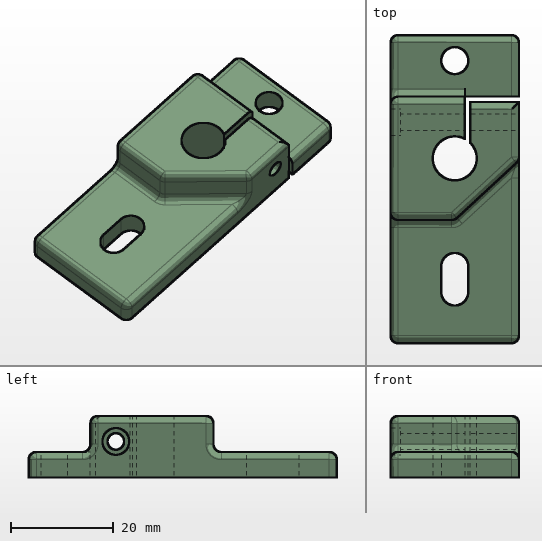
import cadquery as cq

WIDTH = 25.0
LENGTH = 60
BASE_HEIGHT = 5.0
RADIUS = 1.5

HEIGHT = 12
BLOCK_BACK = 18
BLOCK_FRONT = -6
DIAGONAL_START_X = 0
DIAGONAL_END_Y = 5.6

BORE_DIAMETER = 8.5
BORE_Y = 6
SLIT_WIDTH = 1.0
SLIT_LEFT = 2.0

SCREW_DIAMETER = 3.2
SCREW_HEAD_DIAMETER = 5.2
SCREW_HEAD_DEPTH = 2.0
SCREW_Y = 13.0
SCREW_Z = 7.0

MOUNT_DIAMETER = 5.2
MOUNT_HOLE_Y = 25.0
MOUNT_SLOT_Y = -17.5
MOUNT_SLOT_LENGTH = 10.2

SIDE = WIDTH / 2
ARM_BACK = BLOCK_BACK - SLIT_WIDTH
SLIT_RIGHT = SLIT_LEFT + SLIT_WIDTH
TOLERANCE = 0.005


def make_base():
    plate = cq.Workplane("XY").box(WIDTH, LENGTH, BASE_HEIGHT, centered=(True, True, False))
    return plate.edges("|Z").fillet(RADIUS)


def make_block():
    outline = [
        (-SIDE, BLOCK_BACK),
        (-SIDE, BLOCK_FRONT),
        (DIAGONAL_START_X, BLOCK_FRONT),
        (SIDE, DIAGONAL_END_Y),
        (SIDE, BLOCK_BACK),
    ]
    return cq.Workplane("XY").polyline(outline).close().extrude(HEIGHT)


def make_slit():
    outline = [
        (SLIT_LEFT, BORE_Y),
        (SLIT_LEFT, BLOCK_BACK),
        (SIDE, BLOCK_BACK),
        (SIDE, ARM_BACK),
        (SLIT_RIGHT, ARM_BACK),
        (SLIT_RIGHT, BORE_Y),
    ]
    return cq.Workplane("XY").polyline(outline).close().extrude(HEIGHT)


def near(body, point):
    return body.edges(cq.NearestToPointSelector(point))


def round_foot(body):
    """Blend the block walls into the base plate, after rounding the front wall's bend."""
    bend = (DIAGONAL_START_X, BLOCK_FRONT, (BASE_HEIGHT + HEIGHT) / 2)
    body = near(body, bend).fillet(RADIUS)
    back = ((SLIT_LEFT - SIDE) / 2, BLOCK_BACK, BASE_HEIGHT)
    front = ((DIAGONAL_START_X - SIDE) / 2, BLOCK_FRONT, BASE_HEIGHT)
    body = near(body, back).fillet(RADIUS)
    return near(body, front).fillet(RADIUS)


def is_outer_edge(edge):
    """True for the rims of the plate, block top and both sides, but not the slit or underside."""
    box = edge.BoundingBox()
    on_underside = box.zmin < TOLERANCE
    on_side = min(abs(box.xmin - SIDE), abs(box.xmax + SIDE)) < TOLERANCE
    on_end = min(abs(box.ymin - LENGTH / 2), abs(box.ymax + LENGTH / 2)) < TOLERANCE
    on_top = box.zmin > HEIGHT - TOLERANCE
    along_slit = box.xmin > SLIT_LEFT - TOLERANCE and box.xmax < SLIT_RIGHT + TOLERANCE
    slit_end = abs(edge.Center().y - BORE_Y) < TOLERANCE
    plate_corner = edge.geomType() == "CIRCLE" and abs(edge.Center().y) > LENGTH / 2 - RADIUS
    on_rim = on_side or on_end or plate_corner or (on_top and not along_slit and not slit_end)
    return on_rim and not on_underside


def round_outer_edges(body):
    edges = [edge for edge in body.edges().vals() if is_outer_edge(edge)]
    return body.newObject(edges).fillet(RADIUS)


def upright_hole(y, diameter):
    return cq.Workplane("XY").center(0, y).circle(diameter / 2).extrude(HEIGHT)


def screw_hole(diameter, depth):
    entry = cq.Workplane("YZ", origin=(-SIDE, SCREW_Y, SCREW_Z))
    return entry.circle(diameter / 2).extrude(depth)


def make_mount_slot():
    along_y = 90
    slot = cq.Workplane("XY").center(0, MOUNT_SLOT_Y)
    return slot.slot2D(MOUNT_SLOT_LENGTH, MOUNT_DIAMETER, along_y).extrude(HEIGHT)


body = make_base().union(make_block()).cut(make_slit())
body = round_outer_edges(round_foot(body))

bore = upright_hole(BORE_Y, BORE_DIAMETER)
mount_hole = upright_hole(MOUNT_HOLE_Y, MOUNT_DIAMETER)
body = body.cut(bore).cut(mount_hole).cut(make_mount_slot())
body = body.cut(screw_hole(SCREW_DIAMETER, WIDTH))
result = body.cut(screw_hole(SCREW_HEAD_DIAMETER, SCREW_HEAD_DEPTH))